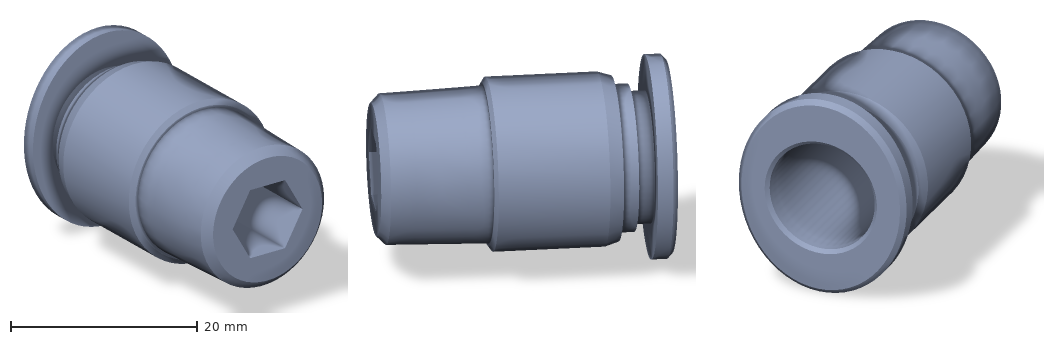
import cadquery as cq
import math

total_length = 31.8
flange_thickness = 2.23
collar_start = 4.05
body_start = 5.8
body_end = 19.78

flange_width = 19.5
flange_height = 22.5
flange_chamfer = 0.55

neck_diameter = 14.3
collar_diameter = 15.95
body_diameter = 18.83
body_lead_in_length = 1.53
body_lead_in_depth = 0.48
body_rear_chamfer_length = 0.4
body_rear_chamfer_depth = 0.6

spigot_diameter = 16.98
spigot_taper = 1 / 16
spigot_chamfer = 0.95

bore_diameter = 12.2
bore_chamfer = 0.4
bore_depth = body_end
hex_across_flats = 7.98


def make_flange():
    """Elliptical plate lying across the X axis, chamfered around its front face."""
    plate = cq.Workplane("YZ").ellipse(flange_width / 2, flange_height / 2).extrude(flange_thickness)
    return plate.faces("<X").chamfer(flange_chamfer)


def make_body():
    """Neck, collar, main body and tapered spigot as one revolved profile."""
    neck_radius = neck_diameter / 2
    collar_radius = collar_diameter / 2
    body_radius = body_diameter / 2
    spigot_radius = spigot_diameter / 2
    taper_end = total_length - spigot_chamfer
    taper_end_radius = spigot_radius - (taper_end - body_end) * spigot_taper / 2
    neck_root = flange_thickness / 2

    profile = [
        (neck_root, 0),
        (neck_root, neck_radius),
        (collar_start, neck_radius),
        (collar_start, collar_radius),
        (body_start, collar_radius),
        (body_start, body_radius - body_lead_in_depth),
        (body_start + body_lead_in_length, body_radius),
        (body_end - body_rear_chamfer_length, body_radius),
        (body_end, body_radius - body_rear_chamfer_depth),
        (body_end, spigot_radius),
        (taper_end, taper_end_radius),
        (total_length, taper_end_radius - spigot_chamfer),
        (total_length, 0),
    ]
    return cq.Workplane("XY").polyline(profile).close().revolve(360, (0, 0, 0), (1, 0, 0))


def make_bore():
    """Blind round tube bore with a chamfered mouth."""
    bore_radius = bore_diameter / 2
    profile = [
        (0, 0),
        (0, bore_radius + bore_chamfer),
        (bore_chamfer, bore_radius),
        (bore_depth, bore_radius),
        (bore_depth, 0),
    ]
    return cq.Workplane("XY").polyline(profile).close().revolve(360, (0, 0, 0), (1, 0, 0))


def make_hex_socket():
    """Hexagonal through passage with its corners pointing along Y."""
    across_corners = hex_across_flats / math.cos(math.radians(30))
    return cq.Workplane("YZ").polygon(6, across_corners).extrude(total_length)


result = make_flange().union(make_body()).cut(make_bore()).cut(make_hex_socket())